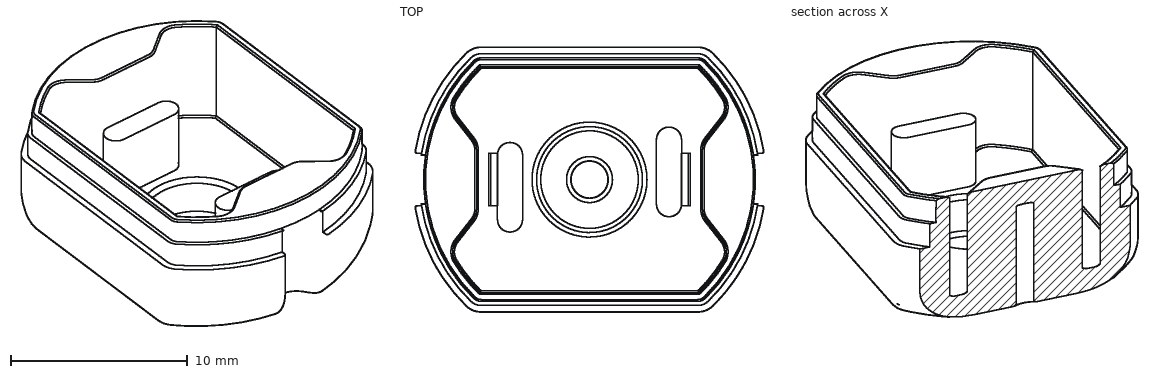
import cadquery as cq
import math

half_length = 9.87
half_width = 7.5
corner_radius = 1.2
notch_half_width = 1.48
notch_edge_radius = 0.12
disc_radius = notch_edge_radius + math.hypot(
    half_length - notch_edge_radius, notch_half_width + notch_edge_radius)
slab_length = 3 * disc_radius

overlap = 0.2
slack = 0.02

boss_height = 2.0
lower_tier_top = 7.0
middle_tier_top = 8.5
total_height = 10.0
cavity_floor = 3.5
recess_floor = 1.0
pin_top = 7.5

middle_inset = 0.38
upper_inset = 0.61
cavity_inset = 1.1
rim_chamfer = 0.1

end_round_height = 2.3
end_round_depth = 1.8
flat_round_radius = 1.26

boss_diameter = 8.0
boss_radius = boss_diameter / 2
boss_foot_radius = 0.24
boss_end_radius = 0.24

notch_centre_x = 8.98
notch_top_round = 0.1
notch_cutter_length = 7.9

pad_face_x = 6.4
pad_half_width = 2.01
pad_flank_angle = 52
pad_flank_length = 4.94
pad_round = 1.0
cavity_floor_chamfer = 0.1
pad_edge_reach = 5.53

recess_diameter = 6.0
recess_radius = recess_diameter / 2
recess_rim_chamfer = 0.25
recess_floor_chamfer = 0.24
hole_diameter = 2.1
hole_radius = hole_diameter / 2
hole_chamfer = 0.25

pin_width = 1.42
pin_length = 5.07
pin_x = 4.5
pin_shift_y = 0.43
window_end_x = 5.7
window_chamfer = 0.12


def flatted_disc(inset, bottom, top):
    """Disc with two flats, standing in by inset from the lower tier's outline."""
    base = cq.Workplane("XY").workplane(offset=bottom)
    disc = base.circle(disc_radius - inset).extrude(top - bottom)
    slab = base.rect(slab_length, 2 * (half_width - inset)).extrude(top - bottom)
    return disc.intersect(slab)


def lower_tier():
    """Bottom tier with the rounded underside."""
    disc = (
        cq.Workplane("XZ")
        .moveTo(0, boss_height)
        .lineTo(disc_radius - end_round_depth, boss_height)
        .ellipseArc(end_round_depth, end_round_height, 270, 360, startAtCurrent=True)
        .lineTo(disc_radius, lower_tier_top)
        .lineTo(0, lower_tier_top)
        .close()
        .revolve(360, (0, 0, 0), (0, 1, 0))
    )
    slab = (
        cq.Workplane("XY").workplane(offset=boss_height)
        .rect(slab_length, 2 * half_width)
        .extrude(lower_tier_top - boss_height)
        .edges("|X and <Z").fillet(flat_round_radius)
    )
    return disc.intersect(slab).edges("|Z").fillet(corner_radius)


def upper_tier(inset, top):
    """Tier that reaches down into the lower one, with rounded corners."""
    tier = flatted_disc(inset, lower_tier_top - overlap, top)
    return tier.edges("|Z").fillet(corner_radius - inset)


def notch(side):
    """Cutter for the vertical notch in one end, with a rounded ceiling; side is -1 or 1."""
    inner_end_x = notch_centre_x - notch_half_width
    return (
        cq.Workplane("XY").center(side * (inner_end_x + notch_cutter_length / 2), 0)
        .slot2D(notch_cutter_length, 2 * notch_half_width)
        .extrude(middle_tier_top)
        .faces(">Z").edges().fillet(notch_top_round)
    )


def pad(side):
    """Wedge-shaped pad that narrows towards the cavity; side is -1 or 1."""
    spread_x = pad_flank_length * math.cos(math.radians(pad_flank_angle))
    spread_y = pad_flank_length * math.sin(math.radians(pad_flank_angle))
    face_x = side * pad_face_x
    back_x = side * (pad_face_x + spread_x)
    return (
        cq.Workplane("XY").workplane(offset=cavity_floor)
        .polyline([
            (face_x, pad_half_width),
            (back_x, pad_half_width + spread_y),
            (back_x, -pad_half_width - spread_y),
            (face_x, -pad_half_width),
        ])
        .close()
        .extrude(total_height - cavity_floor)
    )


def cavity():
    """Hollow inside the rim, narrowed by the two pads."""
    hollow = flatted_disc(cavity_inset, cavity_floor, total_height)
    for side in (-1, 1):
        hollow = hollow.cut(pad(side))
    pad_edges = cq.selectors.BoxSelector(
        (-disc_radius, -pad_edge_reach, 0),
        (disc_radius, pad_edge_reach, total_height),
    )
    hollow = hollow.edges("|Z").edges(pad_edges).fillet(pad_round)
    return hollow.faces("<Z").edges().chamfer(cavity_floor_chamfer)


def recess_and_hole():
    """Stepped opening on the centre axis, as one turned profile."""
    rim_radius = recess_radius + recess_rim_chamfer
    return (
        cq.Workplane("XZ")
        .moveTo(0, 0)
        .lineTo(hole_radius, 0)
        .lineTo(hole_radius, recess_floor - hole_chamfer)
        .lineTo(hole_radius + hole_chamfer, recess_floor)
        .lineTo(recess_radius - recess_floor_chamfer, recess_floor)
        .lineTo(recess_radius, recess_floor + recess_floor_chamfer)
        .lineTo(recess_radius, cavity_floor - recess_rim_chamfer)
        .lineTo(rim_radius, cavity_floor)
        .lineTo(0, cavity_floor)
        .close()
        .revolve(360, (0, 0, 0), (0, 1, 0))
    )


def window(side):
    """Rectangular opening through the floor, from a pin's outer side to a chamfered far end."""
    pin_side_x = pin_x + pin_width / 2
    throat_end_x = window_end_x - window_chamfer
    return (
        cq.Workplane("XZ")
        .polyline([
            (side * pin_side_x, 0),
            (side * throat_end_x, 0),
            (side * throat_end_x, cavity_floor - window_chamfer),
            (side * window_end_x, cavity_floor),
            (side * pin_side_x, cavity_floor),
        ])
        .close()
        .extrude(notch_half_width, both=True)
    )


def pin(side):
    """Upright pin with rounded ends, offset along Y so the pair is symmetric about the axis."""
    return (
        cq.Workplane("XY").workplane(offset=cavity_floor)
        .center(side * pin_x, side * pin_shift_y)
        .slot2D(pin_length, pin_width, 90)
        .extrude(pin_top - cavity_floor)
    )


body = lower_tier()
body = body.union(upper_tier(middle_inset, middle_tier_top))
body = body.union(upper_tier(upper_inset, total_height))
boss = cq.Workplane("XY").circle(boss_radius).extrude(boss_height + overlap)
body = body.union(boss.faces("<Z").edges().fillet(boss_end_radius))
foot = cq.selectors.BoxSelector(
    (-boss_radius - slack, -boss_radius - slack, boss_height - slack),
    (boss_radius + slack, boss_radius + slack, boss_height + slack),
    boundingbox=True,
)
body = body.edges(foot).fillet(boss_foot_radius)

for side in (-1, 1):
    body = body.cut(notch(side))
mouth_corners = cq.selectors.BoxSelector(
    (-disc_radius, -notch_half_width - slack, boss_height + end_round_height),
    (disc_radius, notch_half_width + slack, lower_tier_top),
)
body = body.edges("|Z").edges(mouth_corners).fillet(notch_edge_radius)

body = body.cut(cavity())
body = body.faces(">Z").edges().chamfer(rim_chamfer)

body = body.cut(recess_and_hole())
for side in (-1, 1):
    body = body.cut(window(side))
    body = body.union(pin(side))

result = body